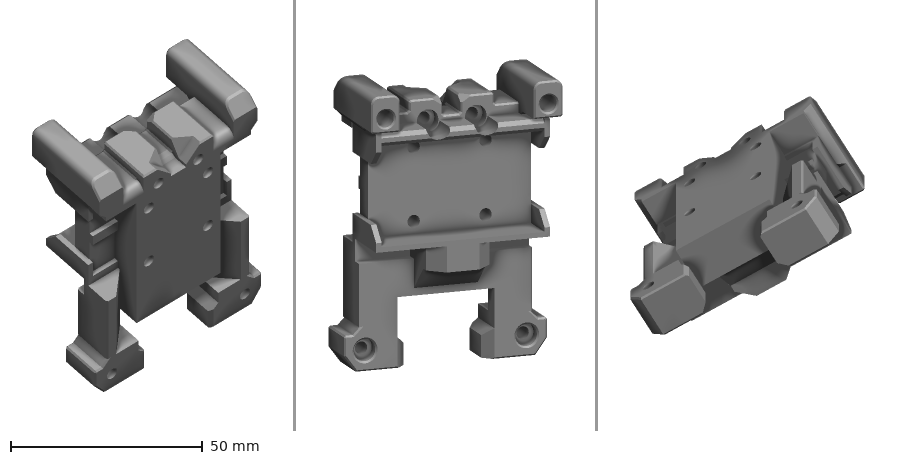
import cadquery as cq


DEPTH = 28.1
HEIGHT = 77.8
LUG_HALF_WIDTH = 28.2
EDGE_CHAMFER = 0.5
SIDES = (1, -1)

SIDE_WALL_OUT = 24.2
SIDE_WALL_IN = 22.6
ARCH_HALF_WIDTH = 13.45
COLUMN_HALF_WIDTH = 14.15

TRAY_FRONT = 3.1
PLATE_FRONT = 13.15
PLATE_BACK = 19.1
TRAY_BACK = 20.45
SHELF_BOTTOM = 35.1
SHELF_TOP = 36.5
LIP_BOTTOM = 63.4
LIP_TOP = 66.8
LIP_CHAMFER = 1.1
WALL_GAP_BOTTOM = 41.6
WALL_GAP_TOP = 58.0
WALL_CORNER = 4.0
RIB_BOTTOM = 48.15
RIB_TOP = 51.5
PLATE_HOLE_SPACING = 20.0
PLATE_HOLE_MID_Z = 49.85
SCREW_DIAMETER = 3.4

BLOCK_FRONT = 11.6
BLOCK_TOP = 72.9
BLOCK_OUT = 11.8
SHOULDER_TOP = 69.7
SHOULDER_ROUND = 2.9
NOTCH_HALF_WIDTH = 2.6
NOTCH_FLOOR = 68.05
LEDGE_HALF_WIDTH = 24.5
LEDGE_BOTTOM = 64.55
NOTCH_CORNER_X = 3.0
NOTCH_CORNER_Y = 3.1
NOTCH_CORNER_Z = 2.1
TROUGH_HALF_WIDTH = 7.55
TROUGH_FRONT = 25.05
TROUGH_END_LENGTH = 3.3
NOTCH_SLOPE_START = 20.9
NOTCH_SLOPE_END = 22.55
NOTCH_STEP_END = 23.65
NOTCH_SLOPE_DROP = 0.5
NOTCH_STEP_DROP = 1.2
BORE_Y = 6.7
BORE_Z = 67.0
BORE_DIAMETER = 6.0
BORE_DEPTH = 3.0
GROOVE_DIAMETER = 6.6

RAIL_Y = 22.6
RAIL_WIDTH = 8.0
RAIL_BOTTOM = 67.8
RAIL_ROUND = 2.1
RAIL_END_CHAMFER = 4.05
RAIL_HOLE_DIAMETER = 4.7
RAIL_HOLE_DEPTH = 10.1
RAIL_HOLE_Z = 71.6
GUSSET_FRONT = 8.95
GUSSET_BOTTOM = 65.95

LEG_FRONT = 15.9
LEG_TOP = 33.8
ARCH_TOP = 19.1
SLOT_BOTTOM = 29.0
SLOT_BACK = 18.7
LUG_TOP = 12.05
LUG_SHOULDER = 9.95
LUG_SHOULDER_Y = 25.75
LUG_CORNER_Y = 25.0
LUG_CORNER_Z = 4.4
FOOT_Y = 10.8
FOOT_TOP_OUT = 8.3
FOOT_TOP_IN = 6.1
FOOT_BACK_CHAMFER = 1.0
LUG_HOLE_Y = 22.5
LUG_HOLE_Z = 5.6

WEB_HALF_WIDTH = 8.9
WEB_NOSE_HALF_WIDTH = 4.5
WEB_NOSE_LENGTH = 4.0
WEB_BOTTOM = 28.0
WEB_SLOPE_START = 9.0


def box(x_range, y_range, z_range):
    """Box between the given limits."""
    (x0, x1), (y0, y1), (z0, z1) = x_range, y_range, z_range
    return cq.Workplane("XY").box(x1 - x0, y1 - y0, z1 - z0, centered=False).translate((x0, y0, z0))


def centred_box(x_range, half_width, z_range):
    """Box that is symmetric about the mid plane."""
    return box(x_range, (-half_width, half_width), z_range)


def extrude_x(points, x0, x1):
    """Outline of (y, z) points, extruded from x0 to x1."""
    return cq.Workplane("YZ", origin=(x0, 0, 0)).polyline(points).close().extrude(x1 - x0)


def extrude_y(points, y0, y1):
    """Outline of (x, z) points, extruded from y0 to y1."""
    return cq.Workplane("XZ", origin=(0, y0, 0)).polyline(points).close().extrude(y0 - y1)


def extrude_z(points, z0, z1):
    """Outline of (x, y) points, extruded from z0 to z1."""
    return cq.Workplane("XY", origin=(0, 0, z0)).polyline(points).close().extrude(z1 - z0)


def rod_x(diameter, y, z, x0, x1):
    """Round rod along X."""
    return cq.Workplane("YZ", origin=(x0, y, z)).circle(diameter / 2).extrude(x1 - x0)


def bore_entry(diameter, y, z, x):
    """Cone that chamfers the mouth of a hole in a front face."""
    radius = diameter / 2
    return cq.Workplane(
        cq.Solid.makeCone(
            radius + EDGE_CHAMFER, radius, EDGE_CHAMFER, pnt=cq.Vector(x, y, z), dir=cq.Vector(1, 0, 0)
        )
    )


def tetrahedron(a, b, c, d):
    """Solid with four corner points."""
    triangles = [(a, b, c), (a, b, d), (b, c, d), (a, c, d)]
    faces = []
    for triangle in triangles:
        wire = cq.Wire.makePolygon([cq.Vector(*p) for p in triangle], close=True)
        faces.append(cq.Face.makeFromWires(wire))
    return cq.Workplane(cq.Solid.makeSolid(cq.Shell.makeShell(faces)))


def both_sides(shape):
    """Shape together with its mirror image across the mid plane."""
    return shape.union(shape.mirror("XZ"))


def make_tray():
    """Back plate with its rib, shelf, chamfered top lip and notched side walls."""
    tray = centred_box((PLATE_FRONT, PLATE_BACK), SIDE_WALL_IN, (SHELF_BOTTOM, LIP_TOP))
    tray = tray.union(centred_box((PLATE_FRONT, TRAY_BACK), SIDE_WALL_IN, (RIB_BOTTOM, RIB_TOP)))
    tray = tray.union(centred_box((TRAY_FRONT, TRAY_BACK), SIDE_WALL_OUT, (SHELF_BOTTOM, SHELF_TOP)))
    lip = centred_box((TRAY_FRONT, TRAY_BACK), SIDE_WALL_IN, (LIP_BOTTOM, LIP_TOP))
    tray = tray.union(lip.faces("<X").edges("|Y").chamfer(LIP_CHAMFER))
    corner_x = TRAY_FRONT + WALL_CORNER
    lower_wall = [
        (TRAY_FRONT, SHELF_BOTTOM),
        (TRAY_FRONT, WALL_GAP_BOTTOM - WALL_CORNER),
        (corner_x, WALL_GAP_BOTTOM),
        (TRAY_BACK, WALL_GAP_BOTTOM),
        (TRAY_BACK, SHELF_BOTTOM),
    ]
    upper_wall = [
        (TRAY_FRONT, LIP_TOP),
        (TRAY_FRONT, WALL_GAP_TOP + WALL_CORNER),
        (corner_x, WALL_GAP_TOP),
        (TRAY_BACK, WALL_GAP_TOP),
        (TRAY_BACK, LIP_TOP),
    ]
    for outline in (lower_wall, upper_wall):
        tray = tray.union(both_sides(extrude_y(outline, SIDE_WALL_IN, SIDE_WALL_OUT)))
    return tray


def make_core():
    """Central column behind the plate and the beam that joins the legs."""
    column = centred_box((PLATE_BACK, DEPTH), COLUMN_HALF_WIDTH, (ARCH_TOP, LIP_TOP))
    beam = centred_box((LEG_FRONT, TRAY_BACK), ARCH_HALF_WIDTH, (ARCH_TOP, SHELF_BOTTOM))
    return column.union(beam)


def make_web():
    """Tapered web under the shelf with a narrowed nose and a sloped underside."""
    slope_drop = LEG_FRONT - WEB_SLOPE_START
    profile = [
        (TRAY_FRONT, SHELF_BOTTOM),
        (TRAY_FRONT, WEB_BOTTOM),
        (WEB_SLOPE_START, WEB_BOTTOM),
        (LEG_FRONT, WEB_BOTTOM - slope_drop),
        (SLOT_BACK, WEB_BOTTOM - slope_drop),
        (SLOT_BACK, SHELF_BOTTOM),
    ]
    plan = [
        (TRAY_FRONT, WEB_NOSE_HALF_WIDTH),
        (TRAY_FRONT + WEB_NOSE_LENGTH, WEB_HALF_WIDTH),
        (SLOT_BACK, WEB_HALF_WIDTH),
        (SLOT_BACK, -WEB_HALF_WIDTH),
        (TRAY_FRONT + WEB_NOSE_LENGTH, -WEB_HALF_WIDTH),
        (TRAY_FRONT, -WEB_NOSE_HALF_WIDTH),
    ]
    side_shape = extrude_y(profile, -WEB_HALF_WIDTH, WEB_HALF_WIDTH)
    return side_shape.intersect(extrude_z(plan, ARCH_TOP, SHELF_BOTTOM))


def make_block():
    """Stepped top block with two raised pads beside a central notch."""
    half_outline = [
        (NOTCH_HALF_WIDTH - EDGE_CHAMFER, NOTCH_FLOOR),
        (NOTCH_HALF_WIDTH, NOTCH_FLOOR + EDGE_CHAMFER),
        (NOTCH_HALF_WIDTH, BLOCK_TOP),
        (BLOCK_OUT, BLOCK_TOP),
        (BLOCK_OUT, SHOULDER_TOP),
        (RAIL_Y, SHOULDER_TOP),
        (RAIL_Y, LEDGE_BOTTOM),
    ]
    outline = half_outline + [(-y, z) for y, z in reversed(half_outline)]
    block = extrude_x(outline, BLOCK_FRONT, DEPTH)
    shoulder_y = (BLOCK_OUT + RAIL_Y) / 2
    for side in SIDES:
        back_edge = cq.NearestToPointSelector((DEPTH, side * shoulder_y, SHOULDER_TOP))
        block = block.edges(back_edge).fillet(SHOULDER_ROUND)
    step_chamfer = [
        (BLOCK_OUT, SHOULDER_TOP),
        (BLOCK_OUT + EDGE_CHAMFER, SHOULDER_TOP),
        (BLOCK_OUT, SHOULDER_TOP + EDGE_CHAMFER),
    ]
    block = block.union(both_sides(extrude_x(step_chamfer, BLOCK_FRONT, DEPTH - SHOULDER_ROUND)))
    block = block.faces(">Z").edges("|X or >X").chamfer(EDGE_CHAMFER)
    block = block.faces("<X").edges("not(<Z or <Y or >Y)").chamfer(EDGE_CHAMFER)
    return block.union(centred_box((TRAY_BACK, DEPTH), LEDGE_HALF_WIDTH, (LEDGE_BOTTOM, LIP_TOP)))


def notch_cuts():
    """Sloped corners, back trough and stepped floor of the central notch."""
    inner = NOTCH_HALF_WIDTH
    front_corner = tetrahedron(
        (BLOCK_FRONT, inner, BLOCK_TOP),
        (BLOCK_FRONT + NOTCH_CORNER_X, inner, BLOCK_TOP),
        (BLOCK_FRONT, inner + NOTCH_CORNER_Y, BLOCK_TOP),
        (BLOCK_FRONT, inner, BLOCK_TOP - NOTCH_CORNER_Z),
    )
    trough_bottom = BLOCK_TOP - (TROUGH_HALF_WIDTH - inner)
    trough_end = tetrahedron(
        (TROUGH_FRONT, inner, BLOCK_TOP),
        (TROUGH_FRONT - TROUGH_END_LENGTH, inner, BLOCK_TOP),
        (TROUGH_FRONT, TROUGH_HALF_WIDTH, BLOCK_TOP),
        (TROUGH_FRONT, inner, trough_bottom),
    )
    trough_side = [(inner, trough_bottom), (TROUGH_HALF_WIDTH, BLOCK_TOP), (inner, BLOCK_TOP)]
    trough = extrude_x(trough_side, TROUGH_FRONT, DEPTH)
    floor = [
        (NOTCH_SLOPE_START, NOTCH_FLOOR),
        (NOTCH_SLOPE_END, NOTCH_FLOOR - NOTCH_SLOPE_DROP),
        (NOTCH_STEP_END, NOTCH_FLOOR - NOTCH_STEP_DROP),
        (DEPTH, NOTCH_FLOOR - NOTCH_STEP_DROP),
        (DEPTH, NOTCH_FLOOR + EDGE_CHAMFER),
        (NOTCH_SLOPE_END, NOTCH_FLOOR + EDGE_CHAMFER),
        (NOTCH_SLOPE_END, NOTCH_FLOOR),
    ]
    cuts = both_sides(front_corner).union(both_sides(trough_end)).union(both_sides(trough))
    return cuts.union(extrude_y(floor, -inner, inner))


def make_rail():
    """Left rail with rounded top, sloped back end, front hole and the gusset below it."""
    inner = RAIL_Y - RAIL_WIDTH / 2
    outer = RAIL_Y + RAIL_WIDTH / 2
    rail = box((0, DEPTH), (inner, outer), (RAIL_BOTTOM, HEIGHT))
    rail = rail.edges("|X and >Z").fillet(RAIL_ROUND)
    rail = rail.edges("|X and <Z and >Y").chamfer(EDGE_CHAMFER)
    slope = [
        (DEPTH - RAIL_END_CHAMFER, HEIGHT),
        (DEPTH, HEIGHT - RAIL_END_CHAMFER),
        (DEPTH, HEIGHT),
    ]
    rail = rail.cut(extrude_y(slope, inner, outer))
    slope_face = cq.NearestToPointSelector(
        (DEPTH - RAIL_END_CHAMFER / 2, RAIL_Y, HEIGHT - RAIL_END_CHAMFER / 2)
    )
    rail = rail.faces(slope_face).edges("not(>X)").chamfer(EDGE_CHAMFER)
    rail = rail.faces("<X").edges().chamfer(EDGE_CHAMFER)
    gusset_height = RAIL_BOTTOM - GUSSET_BOTTOM
    gusset_side = [
        (GUSSET_FRONT, RAIL_BOTTOM),
        (GUSSET_FRONT + gusset_height, GUSSET_BOTTOM),
        (DEPTH, GUSSET_BOTTOM),
        (DEPTH, RAIL_BOTTOM),
    ]
    outer_bottom = outer - EDGE_CHAMFER
    gusset_section = [
        (inner, RAIL_BOTTOM),
        (outer_bottom, RAIL_BOTTOM),
        (outer_bottom - gusset_height, GUSSET_BOTTOM),
        (inner, GUSSET_BOTTOM),
    ]
    gusset = extrude_y(gusset_side, inner, outer).intersect(extrude_x(gusset_section, 0, DEPTH))
    hole = rod_x(RAIL_HOLE_DIAMETER, RAIL_Y, RAIL_HOLE_Z, 0, RAIL_HOLE_DEPTH)
    hole = hole.union(bore_entry(RAIL_HOLE_DIAMETER, RAIL_Y, RAIL_HOLE_Z, 0))
    return rail.union(gusset).cut(hole)


def make_leg():
    """Left leg with a wall up to the shelf and the back inner corner sloped above the lug."""
    leg = box((LEG_FRONT, DEPTH), (ARCH_HALF_WIDTH, SIDE_WALL_OUT), (LUG_TOP, LEG_TOP))
    leg = leg.edges("|Z and >X and >Y").chamfer(EDGE_CHAMFER)
    recess_depth = DEPTH - TRAY_BACK
    recess = [
        (TRAY_BACK, ARCH_HALF_WIDTH),
        (DEPTH, ARCH_HALF_WIDTH + recess_depth),
        (DEPTH, ARCH_HALF_WIDTH),
    ]
    leg = leg.cut(extrude_z(recess, LUG_TOP, LEG_TOP))
    wall_foot = box((SLOT_BACK, TRAY_BACK), (ARCH_HALF_WIDTH, SIDE_WALL_OUT), (SLOT_BOTTOM, SHELF_BOTTOM))
    return leg.union(wall_foot)


def shelf_slot():
    """Left slot between the shelf and the leg, ending at the web."""
    return box((LEG_FRONT, SLOT_BACK), (WEB_HALF_WIDTH, SIDE_WALL_OUT), (SLOT_BOTTOM, SHELF_BOTTOM))


def make_lug():
    """Left lug with its inward foot, wedged at the front and chamfered at the back."""
    diagonal = LUG_TOP - LUG_SHOULDER
    outline = [
        (ARCH_HALF_WIDTH, LUG_TOP),
        (LUG_SHOULDER_Y - diagonal, LUG_TOP),
        (LUG_SHOULDER_Y, LUG_SHOULDER),
        (LUG_HALF_WIDTH - EDGE_CHAMFER, LUG_SHOULDER),
        (LUG_HALF_WIDTH, LUG_SHOULDER - EDGE_CHAMFER),
        (LUG_HALF_WIDTH, LUG_CORNER_Z),
        (LUG_CORNER_Y, 0),
        (FOOT_Y, 0),
        (FOOT_Y, FOOT_TOP_IN),
        (ARCH_HALF_WIDTH, FOOT_TOP_OUT),
    ]
    lug = extrude_x(outline, LEG_FRONT, DEPTH)
    below_leg = cq.selectors.BoxSelector(
        (0, ARCH_HALF_WIDTH + EDGE_CHAMFER, -EDGE_CHAMFER),
        (2 * DEPTH, 2 * LUG_HALF_WIDTH, LUG_TOP - EDGE_CHAMFER),
    )
    lug = lug.faces("<X or >X").edges(below_leg).chamfer(EDGE_CHAMFER)
    foot_width = ARCH_HALF_WIDTH - FOOT_Y
    wedge = [
        (LEG_FRONT, FOOT_Y),
        (LEG_FRONT, ARCH_HALF_WIDTH),
        (LEG_FRONT + foot_width, FOOT_Y),
    ]
    back_corner = [
        (DEPTH - FOOT_BACK_CHAMFER, FOOT_Y),
        (DEPTH, FOOT_Y + FOOT_BACK_CHAMFER),
        (DEPTH, FOOT_Y),
    ]
    return lug.cut(extrude_z(wedge, 0, LUG_TOP)).cut(extrude_z(back_corner, 0, LUG_TOP))


def lug_hole():
    """Counterbored screw hole of the left lug."""
    hole = rod_x(SCREW_DIAMETER, LUG_HOLE_Y, LUG_HOLE_Z, LEG_FRONT, DEPTH)
    hole = hole.union(rod_x(BORE_DIAMETER, LUG_HOLE_Y, LUG_HOLE_Z, LEG_FRONT, LEG_FRONT + BORE_DEPTH))
    return hole.union(bore_entry(BORE_DIAMETER, LUG_HOLE_Y, LUG_HOLE_Z, LEG_FRONT))


def block_hole():
    """Left screw hole of the block, with its counterbore and the groove across the lip."""
    hole = rod_x(SCREW_DIAMETER, BORE_Y, BORE_Z, BLOCK_FRONT, DEPTH)
    hole = hole.union(rod_x(BORE_DIAMETER, BORE_Y, BORE_Z, BLOCK_FRONT, BLOCK_FRONT + BORE_DEPTH))
    return hole.union(rod_x(GROOVE_DIAMETER, BORE_Y, BORE_Z, TRAY_FRONT, BLOCK_FRONT))


def plate_holes():
    """Four screw holes through the plate in a square pattern."""
    half = PLATE_HOLE_SPACING / 2
    centres = [(y, PLATE_HOLE_MID_Z + dz) for y in (-half, half) for dz in (-half, half)]
    plane = cq.Workplane("YZ", origin=(PLATE_FRONT, 0, 0))
    return plane.pushPoints(centres).circle(SCREW_DIAMETER / 2).extrude(DEPTH - PLATE_FRONT)


def right_leg_edge():
    """Front outer edge strip that is chamfered off the right leg only."""
    strip = [
        (LEG_FRONT, -SIDE_WALL_OUT),
        (LEG_FRONT + EDGE_CHAMFER, -SIDE_WALL_OUT),
        (LEG_FRONT, -SIDE_WALL_OUT + EDGE_CHAMFER),
    ]
    return extrude_z(strip, LUG_TOP, SLOT_BOTTOM)


body = make_tray().union(make_core()).union(make_web())
body = body.union(make_block().cut(notch_cuts()))
for left_part in (make_rail(), make_leg(), make_lug()):
    body = body.union(both_sides(left_part))
for left_cut in (shelf_slot(), lug_hole(), block_hole()):
    body = body.cut(both_sides(left_cut))
result = body.cut(plate_holes()).cut(right_leg_edge())